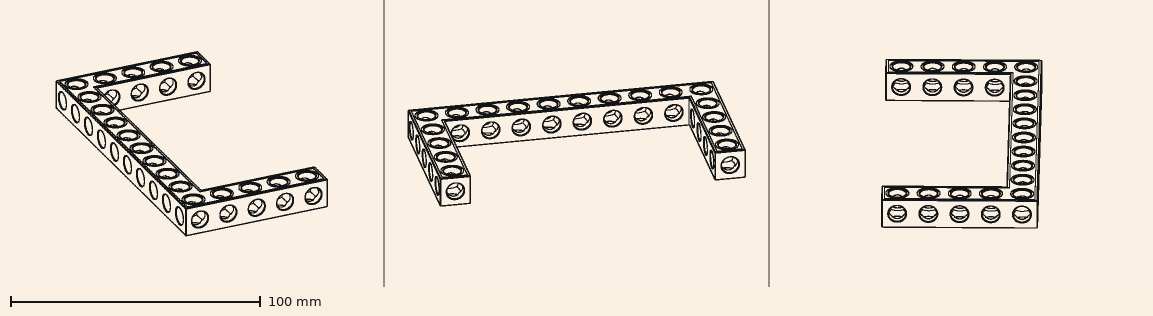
import cadquery as cq

pitch = 12.5
holes_along_base = 10
holes_along_arm = 5
hole_diameter = 7.0
chamfer = 0.3

rim_width = 1.1
panel_depth = 0.2

length = holes_along_base * pitch
width = holes_along_arm * pitch
height = pitch
hole_radius = hole_diameter / 2
far_arm_inner = length - pitch
middle = height / 2

along_x = (1, 0, 0)
along_y = (0, 1, 0)
along_z = (0, 0, 1)


def u_prism(inset, bottom, thickness):
    """U-shaped prism, open toward +Y, its outline moved inward by `inset`."""
    outline = [
        (inset, inset),
        (length - inset, inset),
        (length - inset, width - inset),
        (far_arm_inner + inset, width - inset),
        (far_arm_inner + inset, pitch - inset),
        (pitch - inset, pitch - inset),
        (pitch - inset, width - inset),
        (inset, width - inset),
    ]
    base_plane = cq.Workplane("XY").workplane(offset=bottom)
    return base_plane.polyline(outline).close().extrude(thickness)


def center(index):
    """Distance of hole number `index` (from 0) from the start of its row."""
    return index * pitch + pitch / 2


def chamfered_hole(start, direction, depth):
    """Cutter for a round hole from `start` along `direction`, chamfered at both mouths."""
    half_profile = [
        (0, 0),
        (hole_radius + chamfer, 0),
        (hole_radius, chamfer),
        (hole_radius, depth - chamfer),
        (hole_radius + chamfer, depth),
        (0, depth),
    ]
    side = along_y if direction == along_z else along_z
    across = cq.Vector(*direction).cross(cq.Vector(*side))
    plane = cq.Plane(origin=start, xDir=across.toTuple(), normal=side)
    return cq.Workplane(plane).polyline(half_profile).close().revolve(360, (0, 0, 0), (0, 1, 0))


beam = u_prism(0, 0, height)
beam = beam.edges("|Z").edges("<Y or >Y").chamfer(chamfer)
beam = beam.faces("<Z or >Z").edges().chamfer(chamfer)

columns = range(holes_along_base)
arm_columns = (0, holes_along_base - 1)
arm_rows = range(1, holes_along_arm)
vertical_centers = [(center(column), center(0)) for column in columns]
vertical_centers += [(center(column), center(row)) for column in arm_columns for row in arm_rows]

panel = u_prism(rim_width, height - panel_depth, panel_depth)
hole_rims = (
    cq.Workplane("XY")
    .workplane(offset=height - panel_depth)
    .pushPoints(vertical_centers)
    .circle(hole_radius + rim_width)
    .extrude(panel_depth)
)
beam = beam.cut(panel.cut(hole_rims))

for x, y in vertical_centers:
    beam = beam.cut(chamfered_hole((x, y, 0), along_z, height))

for column in columns:
    depth = width if column in arm_columns else pitch
    beam = beam.cut(chamfered_hole((center(column), 0, middle), along_y, depth))

beam = beam.cut(chamfered_hole((0, center(0), middle), along_x, length))
for row in arm_rows:
    for arm_start in (0, far_arm_inner):
        beam = beam.cut(chamfered_hole((arm_start, center(row), middle), along_x, pitch))

result = beam